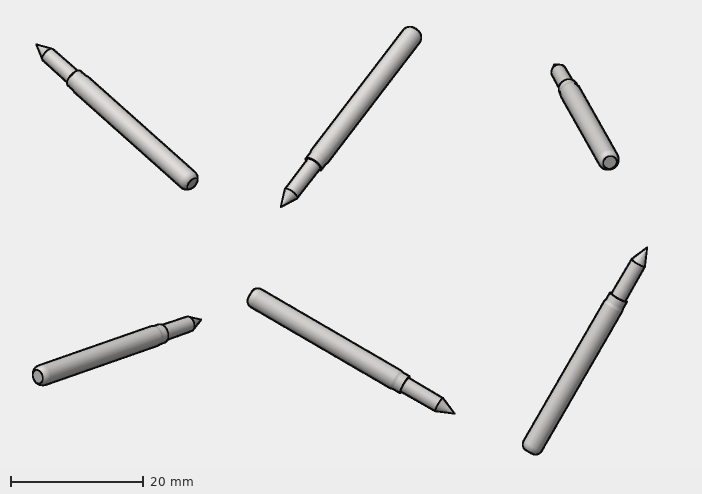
import cadquery as cq

length = 36.07
body_diameter = 3.17
collar_diameter = 2.95
shaft_tip_diameter = 2.35
shaft_root_diameter = 2.45

cone_length = 2.78
shaft_end = 8.85
collar_end = 10.03
body_start = 10.45

crown_length = 0.97
crown_radius = 1.15

point_x = -length / 2
rear_x = length / 2
body_radius = body_diameter / 2
collar_radius = collar_diameter / 2


def crown_height(distance):
    """Radius of the rear crown at a distance behind its tangent edge."""
    return body_radius - crown_radius + (crown_radius**2 - distance**2) ** 0.5


profile = (
    cq.Workplane("XZ")
    .moveTo(point_x, 0)
    .lineTo(point_x + cone_length, shaft_tip_diameter / 2)
    .lineTo(point_x + shaft_end, shaft_root_diameter / 2)
    .lineTo(point_x + shaft_end, collar_radius)
    .lineTo(point_x + collar_end, collar_radius)
    .lineTo(point_x + body_start, body_radius)
    .lineTo(rear_x - crown_length, body_radius)
    .threePointArc(
        (rear_x - crown_length / 2, crown_height(crown_length / 2)),
        (rear_x, crown_height(crown_length)),
    )
    .lineTo(rear_x, 0)
    .close()
)

result = profile.revolve(360, (0, 0, 0), (1, 0, 0))